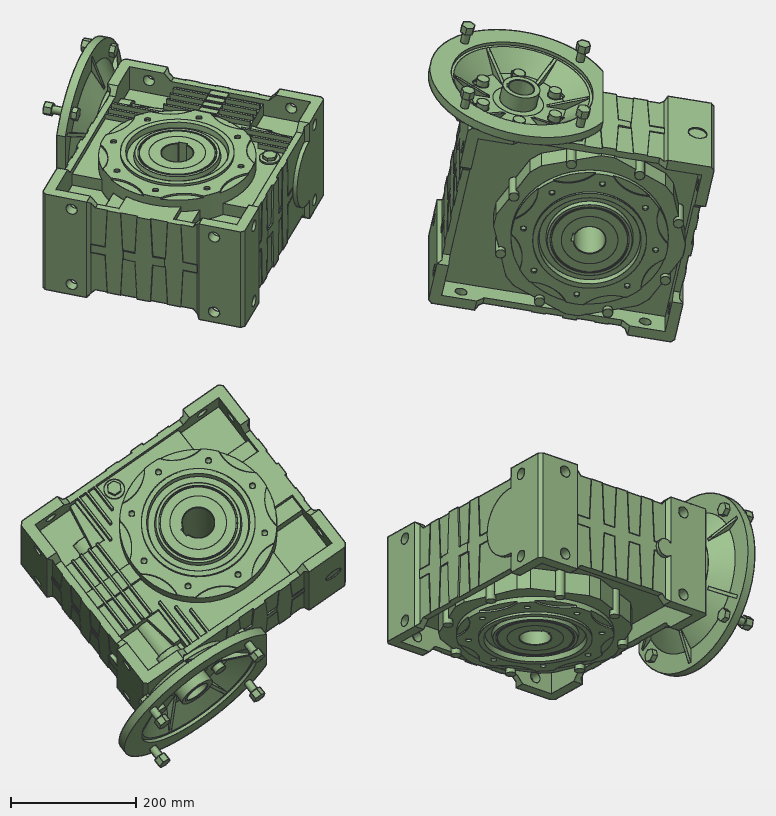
import cadquery as cq
import math


WORM_Y = 150.0

FOOT_X = 170.0
FOOT_Y_MIN = -170.0
FOOT_Y_MAX = 229.5
FOOT_Z = 92.5
FOOT_SIDE = 75.5
FOOT_SLOPE_RUN = 12.0
FOOT_CORNER = 5.5
FOOT_PROUD = 7.0
FOOT_FLANK_RUN = 5.0
WALL_Z = 79.5
BODY_Y = (FOOT_Y_MIN + FOOT_Y_MAX) / 2
FOOT_HALF_Y = (FOOT_Y_MAX - FOOT_Y_MIN) / 2
WALL_X = FOOT_X - FOOT_PROUD
WALL_HALF_Y = FOOT_HALF_Y - FOOT_PROUD
WALL_Y_MIN = BODY_Y - WALL_HALF_Y
WALL_Y_MAX = BODY_Y + WALL_HALF_Y

RIM = 18.0
INNER_X = FOOT_X - RIM
INNER_Y_MIN = FOOT_Y_MIN + RIM
INNER_Y_MAX = 210.5
DECK_Z = 70.5
POCKET_Z = 49.0
POCKET_X = 73.0
LOW_POCKET_Y = -73.0
HIGH_POCKET_Y = 132.0
BLOCK_HALF_X = 45.82

FOOT_HOLE_R = 9.5
FOOT_HOLE_X = 120.0
FOOT_HOLE_Z = 73.0
FOOT_HOLE_HIGH_Y = BODY_Y + FOOT_HALF_Y - (FOOT_X - FOOT_HOLE_X)
FOOT_HOLE_DEPTH = 28.0

DISC_R = 125.5
DISC_Z = 96.0
FACE_R = 90.5
FACE_Z = 100.0
GROOVE_R = 82.2
GROOVE_INNER_R = 67.5
GROOVE_TAPER = 2.0
GROOVE_Z = 90.5
SEAL_Z = 98.0
SEAL_GROOVE_OUTER_R = 63.0
SEAL_GROOVE_INNER_R = 60.5
SEAL_GROOVE_DEPTH = 2.0
SCALLOP_R = 65.0
SCALLOP_CENTRE_R = 176.0
SCALLOP_DEPTH = 3.05
DISC_HOLES = 8
DISC_HOLE_STEP = 360 / DISC_HOLES
DISC_HOLE_R = 4.5
DISC_HOLE_CIRCLE_R = 107.0
DISC_HOLE_DEPTH = 3.8
DISC_HOLE_POINT = 3.8

UNDER_Z = 85.5
UNDER_SIDE_R = 146.0
UNDER_CORNER_R = 153.5
PEG_R = 8.0
PEG_CIRCLE_R = 144.8
PEG_Z = 94.5

FIN_T = 3.8
FIN_PITCH = 16.15
FIN_FIRST_Y = 195.0
LONG_FINS = 4
SHORT_FIN_INNER_X = [65.5, 87.0, 105.0]
SHORT_FIN_FIRST_Y = 124.5
SPINE_HALF_X = 15.28
SPINE_Z = 78.0

BAR_Y = 159.5
BAR_Z = 35.2
BAR_R = 19.7
BAR_END_X = 100.0
BAR_HEAD_R = 24.5
BAR_HEAD_X = -132.5
LEDGE_Z = 65.0
LEDGE_INNER_Y = 155.0
LEDGE_OUTER_Y = 141.5

RIB_SPACING = 50.8
RIB_END_W = 22.5
RIB_MID_W = 29.5
CROSSBAR_H = 16.0
PANEL_HALF_W = 90.0
RIB_PROUD = 1.5
BULGE_HALF_W = 35.0
BULGE_PROUD = 3.5
BULGE_EDGE_PROUD = 2.0

PLUG_X = 132.0
PLUG_Y = 69.0
PLUG_COLLAR_R = 16.5
PLUG_COLLAR_Z = 73.5
PLUG_HEX_R = 11.8
PLUG_Z = 79.0
SIDE_PLUG_R = 15.0
SIDE_RECESS_Y = -142.5
SIDE_RECESS_DEPTH = 2.5
BACK_PLUG_X = -84.0
SEAT_R = 79.5
END_CAP_R = 58.0

PLATE_X = -209.5
PLATE_T = 14.5
PLATE_BACK_X = PLATE_X + PLATE_T
PLATE_R = 150.0
PLATE_FLAT_Y = 19.0
CONE_R = 117.0
CONE_END_R = 80.0
CONE_END_X = -FOOT_X
SPIGOT_R = 115.0
SPIGOT_DEPTH = 5.5
CUP_X = PLATE_X + SPIGOT_DEPTH
CUP_R = 110.5
CUP_FLOOR_R = 76.5
CUP_FLOOR_X = -175.5
PILOT_R = 41.12
FLANGE_RIBS = 6
FLANGE_RIB_STEP = 360 / FLANGE_RIBS
RIB_T = 5.5
INNER_RIB_R = 46.5
OUTER_RIB_R = 141.0
OUTER_RIB_END_R = 86.0
OUTER_RIB_END_X = -174.0
OUTER_RIB_ROOT = 3.0
CUP_BOLT_CIRCLE_R = 67.5
CUP_BOLT_R = 10.0
CUP_BOLT_H = 11.5
CUP_BOLT_SEAT_DEPTH = 1.5
CUP_BOLT_POCKET_W = 22.0
CUP_BOLT_POCKET_R = 80.0
BOLT_CIRCLE_R = 132.5
BOLT_HEX_R = 11.05
BOLT_SHANK_R = 6.5
BOLT_HEAD_X = -242.0
BOLT_HEAD_H = 13.0
NUT_END_X = -186.0

SHAFT_R = 45.0
BORE_R = 25.5
BORE_CHAMFER = 1.0
BORE_KEY_W = 14.0
BORE_KEY_R = 28.5
HUB_R = 30.0
HUB_X = -202.0
HUB_END_X = -141.0
HUB_BORE_R = 20.45
HUB_BORE_DEPTH = 51.5
HUB_KEY_W = 9.5
HUB_KEY_R = 23.0
HUB_BORE_CHAMFER = 1.0


def block(x0, x1, y0, y1, z0, z1):
    """Box between the given limits."""
    return cq.Workplane("XY").box(x1 - x0, y1 - y0, z1 - z0, centered=False).translate((x0, y0, z0))


def z_cylinder(radius, z0, z1, x=0.0, y=0.0):
    return cq.Workplane("XY", origin=(x, y, z0)).circle(radius).extrude(z1 - z0)


def x_cylinder(radius, x0, x1, y=WORM_Y, z=0.0):
    return cq.Workplane("YZ", origin=(x0, y, z)).circle(radius).extrude(x1 - x0)


def x_hexagon(corner_radius, x0, x1, y, z):
    """Hexagonal prism along X, with a corner towards +Y."""
    return cq.Workplane("YZ", origin=(x0, y, z)).polygon(6, 2 * corner_radius).extrude(x1 - x0)


def about_z(shape, angle):
    return shape.rotate((0, 0, 0), (0, 0, 1), angle)


def about_worm(shape, angle):
    return shape.rotate((0, WORM_Y, 0), (1, WORM_Y, 0), angle)


def polar(radius, angle):
    return radius * math.cos(math.radians(angle)), radius * math.sin(math.radians(angle))



def foot():
    """The +X, +Y corner foot, with sloped shoulders down to the wall tops."""

    def shoulder_profile(outer):
        top = outer - FOOT_SIDE
        base = top - FOOT_SLOPE_RUN
        return [
            (outer, -FOOT_Z), (outer, FOOT_Z), (top, FOOT_Z),
            (base, WALL_Z), (base, -WALL_Z), (top, -FOOT_Z),
        ]

    inner_x = FOOT_X - FOOT_SIDE
    inner_y = FOOT_HALF_Y - FOOT_SIDE
    root_x = inner_x - FOOT_SLOPE_RUN
    root_y = inner_y - FOOT_SLOPE_RUN
    plan = [
        (root_x, root_y),
        (WALL_X, root_y),
        (WALL_X, inner_y - FOOT_FLANK_RUN),
        (FOOT_X, inner_y),
        (FOOT_X, FOOT_HALF_Y - FOOT_CORNER),
        (FOOT_X - FOOT_CORNER, FOOT_HALF_Y),
        (inner_x, FOOT_HALF_Y),
        (inner_x - FOOT_FLANK_RUN, WALL_HALF_Y),
        (root_x, WALL_HALF_Y),
    ]
    column = cq.Workplane("XY", origin=(0, 0, -FOOT_Z)).polyline(plan).close().extrude(2 * FOOT_Z)
    across_x = cq.Workplane("XZ").polyline(shoulder_profile(FOOT_X)).close().extrude(-FOOT_HALF_Y)
    across_y = cq.Workplane("YZ").polyline(shoulder_profile(FOOT_HALF_Y)).close().extrude(FOOT_X)
    return column.intersect(across_x).intersect(across_y).translate((0, BODY_Y, 0))


def mirrored_pair(shape, plane, base):
    return [shape, shape.mirror(plane, base)]


def shell_block():
    """Walls and feet, before the top recess is cut."""
    body = block(-WALL_X, WALL_X, WALL_Y_MIN, WALL_Y_MAX, -WALL_Z, WALL_Z)
    for half in mirrored_pair(foot(), "YZ", (0, 0, 0)):
        for corner in mirrored_pair(half, "XZ", (0, BODY_Y, 0)):
            body = body.union(corner)
    return body


def cut_recess(body):
    """Sinks the deck inside the rim, leaving the -Y block."""
    recess = block(-INNER_X, INNER_X, INNER_Y_MIN, INNER_Y_MAX, DECK_Z, FOOT_Z)
    recess = recess.cut(block(-BLOCK_HALF_X, BLOCK_HALF_X, INNER_Y_MIN, 0, DECK_Z, WALL_Z))
    return body.cut(recess)


def cut_corner_pockets(body):
    """Deep pockets behind the four feet on the top side."""
    for x0, x1 in [(-INNER_X, -POCKET_X), (POCKET_X, INNER_X)]:
        for y0, y1 in [(INNER_Y_MIN, LOW_POCKET_Y), (HIGH_POCKET_Y, INNER_Y_MAX)]:
            body = body.cut(block(x0, x1, y0, y1, POCKET_Z, FOOT_Z))
    return body


def octagon(inner_radius, z0, z1):
    """Octagonal prism with two sides square to each of X and Y."""
    diameter = 2 * inner_radius
    return (
        cq.Workplane("XY", origin=(0, 0, z0))
        .transformed(rotate=(0, 0, DISC_HOLE_STEP / 2))
        .polygon(DISC_HOLES, diameter, circumscribed=True)
        .extrude(z1 - z0)
    )


def shape_underside(body):
    """Recess inside the lower rim around an octagonal base with cut corners and a ring of pegs."""
    body = body.cut(block(-INNER_X, INNER_X, INNER_Y_MIN, INNER_Y_MAX, -FOOT_Z, -POCKET_Z))
    corners = about_z(octagon(UNDER_CORNER_R, -UNDER_Z, -POCKET_Z), DISC_HOLE_STEP / 2)
    body = body.union(octagon(UNDER_SIDE_R, -UNDER_Z, -POCKET_Z).intersect(corners))
    for i in range(DISC_HOLES):
        x, y = polar(PEG_CIRCLE_R, (i + 0.5) * DISC_HOLE_STEP)
        body = body.union(z_cylinder(PEG_R, -PEG_Z, -POCKET_Z, x, y))
    return body


def pocket_bar():
    """Headed round bar crossing the +Y pockets, and the slanting ledges beside it."""
    bar = x_cylinder(BAR_R, -INNER_X, BAR_END_X, BAR_Y, BAR_Z)
    bar = bar.union(x_cylinder(BAR_HEAD_R, -INNER_X, BAR_HEAD_X, BAR_Y, BAR_Z))
    ledge = (
        cq.Workplane("XY")
        .polyline([
            (POCKET_X, HIGH_POCKET_Y), (INNER_X, HIGH_POCKET_Y),
            (INNER_X, LEDGE_OUTER_Y), (POCKET_X, LEDGE_INNER_Y),
        ])
        .close()
        .extrude(LEDGE_Z)
    )
    right_ledge, left_ledge = mirrored_pair(ledge, "YZ", (0, 0, 0))
    head_clearance = block(-INNER_X, BAR_HEAD_X, HIGH_POCKET_Y, INNER_Y_MAX, POCKET_Z, LEDGE_Z)
    return bar.union(right_ledge).union(left_ledge.cut(head_clearance))


def cooling_fins():
    """Long fins between the +Y pockets with a spine across, and shorter fin pairs below them."""
    fins = block(-SPINE_HALF_X, SPINE_HALF_X, 0, INNER_Y_MAX, 0, SPINE_Z)
    for i in range(LONG_FINS):
        y = FIN_FIRST_Y - i * FIN_PITCH
        fins = fins.union(block(-POCKET_X, POCKET_X, y - FIN_T / 2, y + FIN_T / 2, 0, WALL_Z))
    for i, inner_x in enumerate(SHORT_FIN_INNER_X):
        y = SHORT_FIN_FIRST_Y - i * FIN_PITCH
        for x0, x1 in [(-INNER_X, -inner_x), (inner_x, INNER_X)]:
            fins = fins.union(block(x0, x1, y - FIN_T / 2, y + FIN_T / 2, 0, WALL_Z))
    return fins


def wall_ribs(wall_distance, bulged):
    """Ribs on a wall at the given distance along +X: flat outer ribs, middle one flat or bulged."""

    def rib_outline(y):
        end = RIB_END_W / 2
        mid = RIB_MID_W / 2
        bar = CROSSBAR_H / 2
        return [
            (y - end, -WALL_Z), (y + end, -WALL_Z), (y + mid, -bar), (y + mid, bar),
            (y + end, WALL_Z), (y - end, WALL_Z), (y - mid, bar), (y - mid, -bar),
        ]

    face = cq.Workplane("YZ", origin=(wall_distance, 0, 0))
    ribs = face.rect(2 * PANEL_HALF_W, CROSSBAR_H).extrude(RIB_PROUD)
    for y in (-RIB_SPACING, RIB_SPACING):
        ribs = ribs.union(face.polyline(rib_outline(y)).close().extrude(RIB_PROUD))

    if not bulged:
        return ribs.union(face.polyline(rib_outline(0)).close().extrude(RIB_PROUD))

    middle = face.rect(2 * BULGE_HALF_W, CROSSBAR_H).extrude(BULGE_PROUD)
    middle = middle.union(face.polyline(rib_outline(0)).close().extrude(BULGE_PROUD))
    bulge = (
        cq.Workplane("XY", origin=(0, 0, -WALL_Z))
        .moveTo(wall_distance, -BULGE_HALF_W)
        .lineTo(wall_distance + BULGE_EDGE_PROUD, -BULGE_HALF_W)
        .threePointArc(
            (wall_distance + BULGE_PROUD, 0),
            (wall_distance + BULGE_EDGE_PROUD, BULGE_HALF_W),
        )
        .lineTo(wall_distance, BULGE_HALF_W)
        .close()
        .extrude(2 * WALL_Z)
    )
    return ribs.union(middle.intersect(bulge))


def add_wall_ribs(body):
    """The ribs of the +Y wall stay flat; those of the other three walls bulge in the middle."""
    for angle, distance in [(0, WALL_X), (180, WALL_X), (270, -WALL_Y_MIN)]:
        body = body.union(about_z(wall_ribs(distance, bulged=True), angle))
    body = body.union(about_z(wall_ribs(WALL_Y_MAX, bulged=False), 90))
    return body


def disc_hole():
    """Drilled hole with a conical end, opening upwards at the disc face."""
    straight_end = DISC_Z - DISC_HOLE_DEPTH
    profile = [
        (0, DISC_Z), (DISC_HOLE_R, DISC_Z),
        (DISC_HOLE_R, straight_end), (0, straight_end - DISC_HOLE_POINT),
    ]
    return cq.Workplane("XZ").polyline(profile).close().revolve(360, (0, 0, 0), (0, 1, 0))


def output_face():
    """Output flange on the top side: scalloped disc with a raised face, grooves and bolt holes."""
    profile = [
        (0, 0), (DISC_R, 0), (DISC_R, DISC_Z),
        (FACE_R, DISC_Z), (FACE_R, FACE_Z),
        (GROOVE_R, FACE_Z), (GROOVE_R - GROOVE_TAPER, GROOVE_Z),
        (GROOVE_INNER_R + GROOVE_TAPER, GROOVE_Z), (GROOVE_INNER_R, SEAL_Z),
        (SEAL_GROOVE_OUTER_R, SEAL_Z), (SEAL_GROOVE_OUTER_R, SEAL_Z - SEAL_GROOVE_DEPTH),
        (SEAL_GROOVE_INNER_R, SEAL_Z - SEAL_GROOVE_DEPTH), (SEAL_GROOVE_INNER_R, SEAL_Z),
        (0, SEAL_Z),
    ]
    face = cq.Workplane("XZ").polyline(profile).close().revolve(360, (0, 0, 0), (0, 1, 0))
    for i in range(DISC_HOLES):
        x, y = polar(DISC_HOLE_CIRCLE_R, i * DISC_HOLE_STEP)
        face = face.cut(disc_hole().translate((x, y, 0)))
        x, y = polar(SCALLOP_CENTRE_R, (i + 0.5) * DISC_HOLE_STEP)
        face = face.cut(z_cylinder(SCALLOP_R, DISC_Z - SCALLOP_DEPTH, DISC_Z, x, y))
    return face


def cut_foot_holes(body):
    """Mounting holes in the feet on the -Y, +Y and +X faces."""
    reach = FOOT_HOLE_DEPTH
    for z in (-FOOT_HOLE_Z, FOOT_HOLE_Z):
        for x in (-FOOT_HOLE_X, FOOT_HOLE_X):
            drill = cq.Workplane("XZ", origin=(x, FOOT_Y_MIN, z)).circle(FOOT_HOLE_R).extrude(-reach)
            body = body.cut(drill)
            drill = cq.Workplane("XZ", origin=(x, FOOT_Y_MAX, z)).circle(FOOT_HOLE_R).extrude(reach)
            body = body.cut(drill)
        for y in (-FOOT_HOLE_X, FOOT_HOLE_HIGH_Y):
            body = body.cut(x_cylinder(FOOT_HOLE_R, FOOT_X - reach, FOOT_X, y, z))
    return body


def add_plugs(body):
    """Hexagon plug on the deck, round plug on the +Y wall and the shallow recess in a -X foot."""
    body = body.union(z_cylinder(PLUG_COLLAR_R, 0, PLUG_COLLAR_Z, PLUG_X, PLUG_Y))
    hexagon = (
        cq.Workplane("XY", origin=(PLUG_X, PLUG_Y, 0))
        .transformed(rotate=(0, 0, 30))
        .polygon(6, 2 * PLUG_HEX_R)
        .extrude(PLUG_Z)
    )
    body = body.union(hexagon)
    back_plug = cq.Workplane("XZ", origin=(BACK_PLUG_X, FOOT_Y_MAX, 0)).circle(SIDE_PLUG_R)
    body = body.union(back_plug.extrude(2 * FOOT_PROUD))
    recess = x_cylinder(SIDE_PLUG_R, -FOOT_X, -FOOT_X + SIDE_RECESS_DEPTH, SIDE_RECESS_Y)
    return body.cut(recess)


def make_housing():
    body = cut_corner_pockets(cut_recess(shell_block()))
    body = shape_underside(body)
    body = body.union(pocket_bar()).union(cooling_fins())
    body = add_wall_ribs(body)
    for face in mirrored_pair(output_face(), "XY", (0, 0, 0)):
        body = body.union(face)
    body = cut_foot_holes(body)
    body = body.union(x_cylinder(SEAT_R, -FOOT_X, -WALL_X + FOOT_PROUD))
    body = body.union(x_cylinder(PILOT_R, CUP_FLOOR_X, -WALL_X))
    body = body.union(x_cylinder(END_CAP_R, WALL_X - FOOT_PROUD, FOOT_X))
    body = add_plugs(body)
    body = body.cut(z_cylinder(SHAFT_R, -FACE_Z, FACE_Z))
    return body.cut(x_cylinder(HUB_R, HUB_X, HUB_END_X))



def flange_dish():
    """Round plate with one flat side and a hollow cone behind it."""
    outside = [
        (PLATE_X, 0), (PLATE_X, PLATE_R), (PLATE_BACK_X, PLATE_R),
        (PLATE_BACK_X, CONE_R), (CONE_END_X, CONE_END_R), (CONE_END_X, 0),
    ]
    inside = [
        (PLATE_X, 0), (PLATE_X, SPIGOT_R), (CUP_X, SPIGOT_R),
        (CUP_X, CUP_R), (CUP_FLOOR_X, CUP_FLOOR_R), (CUP_FLOOR_X, 0),
    ]
    dish, hollow = (
        cq.Workplane("XY")
        .polyline(profile)
        .close()
        .revolve(360, (0, 0, 0), (1, 0, 0))
        .translate((0, WORM_Y, 0))
        for profile in (outside, inside)
    )
    flat = block(PLATE_X, PLATE_BACK_X, WORM_Y - PLATE_R, PLATE_FLAT_Y, -PLATE_R, PLATE_R)
    pilot_hole = x_cylinder(PILOT_R, PLATE_X, CONE_END_X)
    return dish.cut(flat).cut(hollow).cut(pilot_hole)


def flange_rib(points):
    """Flat rib lying in the plane of the worm axis and +Y; points are (x, radius)."""
    rib = cq.Workplane("XY", origin=(0, WORM_Y, -RIB_T / 2)).polyline(points).close()
    return rib.extrude(RIB_T)


def add_flange_ribs(flange):
    inner = flange_rib([(CUP_FLOOR_X, INNER_RIB_R), (CUP_X, CUP_R), (CUP_FLOOR_X, CUP_FLOOR_R)])
    outer = flange_rib([
        (PLATE_BACK_X, OUTER_RIB_R),
        (OUTER_RIB_END_X, OUTER_RIB_END_R),
        (OUTER_RIB_END_X, OUTER_RIB_END_R - OUTER_RIB_ROOT),
        (PLATE_BACK_X, CONE_R - OUTER_RIB_ROOT),
    ])
    for i in range(FLANGE_RIBS):
        flange = flange.union(about_worm(inner, i * FLANGE_RIB_STEP))
        flange = flange.union(about_worm(outer, (i + 0.5) * FLANGE_RIB_STEP))
    return flange


def add_cup_bolts(flange):
    """Bolt heads on the cup floor, each in a flat-sided relief cut into the cone and floor."""
    bolt_y = WORM_Y + CUP_BOLT_CIRCLE_R
    half = CUP_BOLT_POCKET_W / 2
    seat_x = CUP_FLOOR_X + CUP_BOLT_SEAT_DEPTH
    relief = block(CUP_X, seat_x, bolt_y, WORM_Y + CUP_BOLT_POCKET_R, -half, half)
    relief = relief.union(x_cylinder(half, CUP_X, seat_x, bolt_y))
    head = x_cylinder(CUP_BOLT_R, seat_x - CUP_BOLT_H, seat_x, bolt_y)
    for i in range(FLANGE_RIBS):
        angle = (i + 0.5) * FLANGE_RIB_STEP
        flange = flange.cut(about_worm(relief, angle)).union(about_worm(head, angle))
    return flange


def add_plate_bolts(flange):
    """Four bolts through the plate, heads standing off in front and nuts against its back."""
    y = WORM_Y + BOLT_CIRCLE_R
    bolt = x_hexagon(BOLT_HEX_R, BOLT_HEAD_X, BOLT_HEAD_X + BOLT_HEAD_H, y, 0)
    bolt = bolt.union(x_cylinder(BOLT_SHANK_R, BOLT_HEAD_X, PLATE_BACK_X, y))
    bolt = bolt.union(x_hexagon(BOLT_HEX_R, PLATE_BACK_X, NUT_END_X, y, 0))
    for angle in (45, 135, 225, 315):
        flange = flange.union(about_worm(bolt, angle))
    return flange


def make_motor_flange():
    flange = add_flange_ribs(flange_dish())
    flange = add_cup_bolts(flange)
    return add_plate_bolts(flange)



def make_output_shaft():
    """Hollow output shaft with a keyed through bore."""
    shaft = z_cylinder(SHAFT_R, -SEAL_Z, SEAL_Z).cut(z_cylinder(BORE_R, -SEAL_Z, SEAL_Z))
    shaft = shaft.edges("%CIRCLE").edges(cq.selectors.RadiusNthSelector(0)).chamfer(BORE_CHAMFER)
    return shaft.cut(block(-BORE_KEY_W / 2, BORE_KEY_W / 2, 0, BORE_KEY_R, -SEAL_Z, SEAL_Z))


def make_worm_shaft():
    """Worm shaft hub with a keyed blind bore."""
    bore_end = HUB_X + HUB_BORE_DEPTH
    half = HUB_KEY_W / 2
    hub = x_cylinder(HUB_R, HUB_X, HUB_END_X).cut(x_cylinder(HUB_BORE_R, HUB_X, bore_end))
    bore_edge = hub.faces("<X").edges(cq.selectors.RadiusNthSelector(0))
    hub = bore_edge.chamfer(HUB_BORE_CHAMFER)
    return hub.cut(block(HUB_X, bore_end, WORM_Y, WORM_Y + HUB_KEY_R, -half, half))


housing = make_housing()
motor_flange = make_motor_flange()
output_shaft = make_output_shaft()
worm_shaft = make_worm_shaft()

result = cq.Compound.makeCompound([
    *housing.solids().vals(),
    *motor_flange.solids().vals(),
    *output_shaft.solids().vals(),
    *worm_shaft.solids().vals(),
])